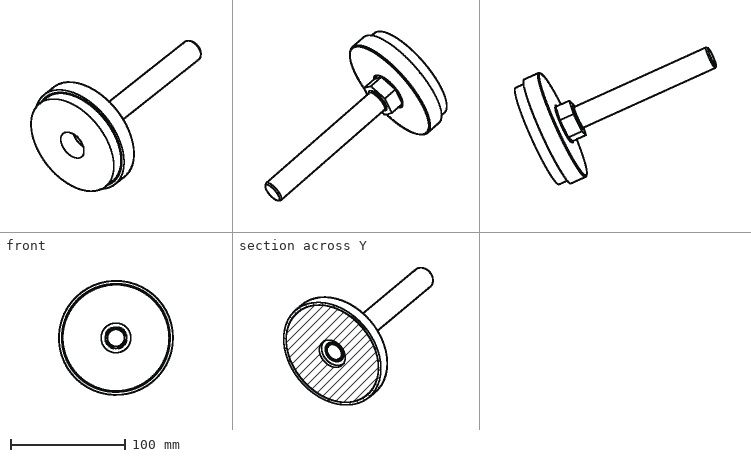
import cadquery as cq
import math

total_length = 169.0
pad_front = -total_length / 2
stud_tip = total_length / 2
pad_exposed = 10.0
housing_width = 15.0
collar_height = 1.0
hex_height = 13.0
flare_height = 1.4

housing_front = pad_front + pad_exposed
housing_back = housing_front + housing_width
hex_start = housing_back + collar_height
hex_end = hex_start + hex_height
flare_end = hex_end + flare_height

housing_radius = 50.0
housing_chamfer = 1.0
pad_radius = 46.5
pad_step = 1.0
recess_depth = 7.0
pad_bore_radius = 13.0
recess_radius = pad_radius + pad_step
pad_back = housing_front + recess_depth

across_flats = 30.0
across_corners = across_flats / math.cos(math.pi / 6)
collar_small_radius = 16.7
collar_large_radius = 18.0

stud_radius = 10.0
flare_radius = 11.2
stud_chamfer_length = 1.5
stud_chamfer_width = 1.0
spigot_radius = 9.0
spigot_end_radius = 7.5
spigot_end_length = 1.7
housing_hole_radius = 9.3


def revolve_about_y(points):
    """Turn a closed (radius, y) outline about the Y axis."""
    return cq.Workplane("XY").polyline(points).close().revolve(360, (0, 0, 0), (0, 1, 0))


def make_pad():
    """Bored disc whose wider rear part fills the housing recess."""
    return revolve_about_y([
        (pad_bore_radius, pad_front),
        (pad_radius, pad_front),
        (pad_radius, housing_front),
        (recess_radius, housing_front),
        (recess_radius, pad_back),
        (pad_bore_radius, pad_back),
    ])


def make_housing():
    """Disc with a recess for the pad and a hole for the spigot."""
    return revolve_about_y([
        (housing_hole_radius, pad_back),
        (recess_radius, pad_back),
        (recess_radius, housing_front),
        (housing_radius, housing_front),
        (housing_radius, housing_back - housing_chamfer),
        (housing_radius - housing_chamfer, housing_back),
        (housing_hole_radius, housing_back),
    ])


def make_nut():
    """Hexagon with corners on X and a flared collar, bored for the shank."""
    collar = revolve_about_y([
        (0, housing_back),
        (collar_small_radius, housing_back),
        (collar_large_radius, hex_start),
        (0, hex_start),
    ])
    hexagon = (
        cq.Workplane("XZ").workplane(offset=-hex_start)
        .polygon(6, across_corners).extrude(-hex_height)
    )
    bore = (
        cq.Workplane("XZ").workplane(offset=-housing_back)
        .circle(stud_radius).extrude(-(hex_end - housing_back))
    )
    return collar.union(hexagon).cut(bore)


def make_stud():
    """Chamfered shank with a flare resting on the nut and a stepped spigot."""
    return revolve_about_y([
        (0, pad_back),
        (spigot_end_radius, pad_back),
        (spigot_end_radius, pad_back + spigot_end_length),
        (spigot_radius, pad_back + spigot_end_length),
        (spigot_radius, housing_back),
        (stud_radius, housing_back),
        (stud_radius, hex_end),
        (flare_radius, hex_end),
        (stud_radius, flare_end),
        (stud_radius, stud_tip - stud_chamfer_length),
        (stud_radius - stud_chamfer_width, stud_tip),
        (0, stud_tip),
    ])


pad = make_pad()
housing = make_housing()
nut = make_nut()
stud = make_stud()

result = cq.Compound.makeCompound([pad.val(), housing.val(), nut.val(), stud.val()])